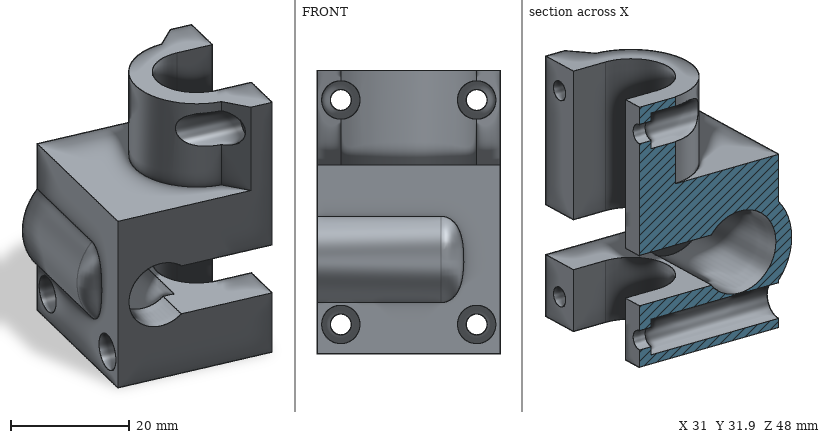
import cadquery as cq

width = 31.0
depth = 29.1
height = 48.0
shoulder_height = 32.0
middle_x = width / 2

bearing_radius = 7.5

channel_axis_drop = 6.65
channel_y = depth - channel_axis_drop
upright_wall = 4.0
upright_radius = bearing_radius + upright_wall
flange_thickness = 4.0
wing_reach = 4.0
wing_end_drop = 7.6

bore_y = 8.1
bore_z = shoulder_height / 2
bore_depth = 24.0
rod_hole_radius = 6.0
slot_height = 9.2

boss_radius = 10.91
boss_length = 25.0
boss_fillet = 4.0

screw_margin_x = 4.0
screw_margin_z = 5.0
screw_diameter = 3.5
head_diameter = 6.5
head_floor = 2.5


def cylinder_along_x(radius, length):
    return cq.Workplane("YZ").center(bore_y, bore_z).circle(radius).extrude(length)


def lower_block():
    return cq.Workplane("XY").box(width, depth, shoulder_height, centered=False)


def upright():
    """Flange, sloping wings and half-round wall rising to full height."""
    flange_y = depth - flange_thickness
    wing_y = depth - wing_end_drop
    return (
        cq.Workplane("XY")
        .moveTo(0, depth)
        .lineTo(0, flange_y)
        .lineTo(wing_reach, wing_y)
        .threePointArc((middle_x, channel_y - upright_radius), (width - wing_reach, wing_y))
        .lineTo(width, flange_y)
        .lineTo(width, depth)
        .close()
        .extrude(height)
    )


def boss():
    return cylinder_along_x(boss_radius, boss_length).faces(">X").edges().fillet(boss_fillet)


def channel_cut():
    """U channel through the full height, open at the mounting face."""
    round_end = cq.Workplane("XY").center(middle_x, channel_y).circle(bearing_radius).extrude(height)
    mouth = (
        cq.Workplane("XY", origin=(middle_x, channel_y, 0))
        .box(2 * bearing_radius, channel_axis_drop, height, centered=(True, False, False))
    )
    return round_end.union(mouth)


def cross_cut():
    """Bearing bore, smaller rod hole through the end wall, and the slot behind them."""
    bearing_bore = cylinder_along_x(bearing_radius, bore_depth)
    rod_hole = cylinder_along_x(rod_hole_radius, width)
    slot = (
        cq.Workplane("XY", origin=(0, bore_y, bore_z))
        .box(width, depth - bore_y, slot_height, centered=(False, False, True))
    )
    return bearing_bore.union(rod_hole).union(slot)


def screw_cuts():
    """Screw holes through to the mounting face, with deep head recesses from the front."""
    head_depth = depth - head_floor
    cuts = cq.Workplane("XY")
    for x in (screw_margin_x, width - screw_margin_x):
        for z in (screw_margin_z, height - screw_margin_z):
            front_plane = cq.Workplane("XZ", origin=(x, 0, z))
            cuts = cuts.union(front_plane.circle(screw_diameter / 2).extrude(-depth))
            cuts = cuts.union(front_plane.circle(head_diameter / 2).extrude(-head_depth))
    return cuts


result = (
    lower_block()
    .union(upright())
    .union(boss())
    .cut(channel_cut())
    .cut(cross_cut())
    .cut(screw_cuts())
)